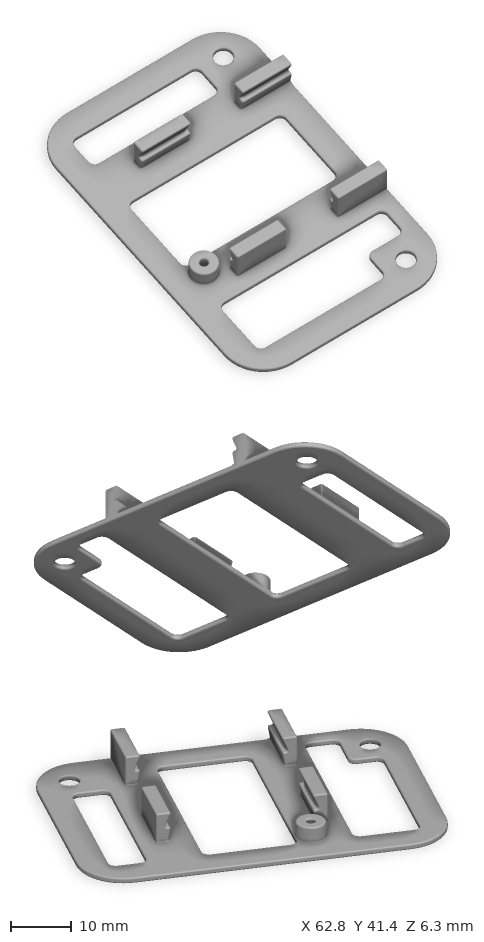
import cadquery as cq
PLATE_LENGTH = 62.8
PLATE_WIDTH = 41.4
PLATE_THICKNESS = 1.0
PLATE_CORNER_RADIUS = 8.0
TOTAL_HEIGHT = 6.3
EDGE_RADIUS = 0.3
FOOT_RADIUS = 0.25
SINK = 0.5

OPENING_CORNER_RADIUS = 1.25
OPENING_FRONT_Y = -15.7
CENTRE_OPENING_LEFT = -10.55
CENTRE_OPENING_RIGHT = 5.45
CENTRE_OPENING_BACK_Y = 15.7
SLOT_OUTER_X = 26.4
SLOT_BACK_Y = 10.1
LEFT_SLOT_INNER_X = -20.0
RIGHT_SLOT_INNER_X = 15.0
RIGHT_SLOT_ARM_X = 20.85
RIGHT_SLOT_ARM_BACK_Y = 17.7

HOLE_DIAMETER = 3.4
HOLE_X = 25.5
HOLE_Y = 14.75

BAR_LENGTH = 10.0
LEFT_BAR_OUTER_X = -17.0
RIGHT_BAR_OUTER_X = 12.1
FRONT_BAR_BACK_Y = 0.25
HOOK_DEPTH = 2.65
NOTCH_DEPTH = 1.45
LIP_DEPTH = 2.5
BAR_BASE_DEPTH = 2.1
LIP_TOP_Z = 3.5

BOSS_X = 8.15
BOSS_Y = -13.7
BOSS_DIAMETER = 5.0
BOSS_TOP_Z = 3.8
BOSS_HOLE_DIAMETER = 1.5

BACK_Y = PLATE_WIDTH / 2


def rectangle(left, right, front, back):
    """Corner points of an upright rectangle."""
    return [(left, front), (right, front), (right, back), (left, back)]


def opening(corners):
    """Full-height cutter with rounded corners."""
    prism = cq.Workplane("XY").polyline(corners).close().extrude(TOTAL_HEIGHT)
    return prism.edges("|Z").fillet(OPENING_CORNER_RADIUS)


def make_openings():
    centre = rectangle(CENTRE_OPENING_LEFT, CENTRE_OPENING_RIGHT, OPENING_FRONT_Y, CENTRE_OPENING_BACK_Y)
    left_slot = rectangle(-SLOT_OUTER_X, LEFT_SLOT_INNER_X, OPENING_FRONT_Y, SLOT_BACK_Y)
    right_slot = [
        (RIGHT_SLOT_INNER_X, OPENING_FRONT_Y),
        (SLOT_OUTER_X, OPENING_FRONT_Y),
        (SLOT_OUTER_X, SLOT_BACK_Y),
        (RIGHT_SLOT_ARM_X, SLOT_BACK_Y),
        (RIGHT_SLOT_ARM_X, RIGHT_SLOT_ARM_BACK_Y),
        (RIGHT_SLOT_INNER_X, RIGHT_SLOT_ARM_BACK_Y),
    ]
    return opening(centre).union(opening(left_slot)).union(opening(right_slot))


def make_plate(openings):
    """Plate with its openings and holes, rounded along all top and bottom edges."""
    plate = (
        cq.Workplane("XY")
        .rect(PLATE_LENGTH, PLATE_WIDTH)
        .extrude(PLATE_THICKNESS)
        .edges("|Z")
        .fillet(PLATE_CORNER_RADIUS)
        .cut(openings)
    )
    holes = (
        cq.Workplane("XY")
        .pushPoints([(-HOLE_X, HOLE_Y), (HOLE_X, HOLE_Y)])
        .circle(HOLE_DIAMETER / 2)
        .extrude(PLATE_THICKNESS)
    )
    return plate.cut(holes).faces("<Z or >Z").edges().fillet(EDGE_RADIUS)


def make_bar(outer_x, inward, front_y, back_y):
    """Hooked bar along Y; inward is +1 or -1, the X direction from its outer face to its hook."""
    bottom_z = PLATE_THICKNESS - SINK
    profile = [
        (0, bottom_z),
        (BAR_BASE_DEPTH, bottom_z),
        (BAR_BASE_DEPTH, PLATE_THICKNESS),
        (LIP_DEPTH, LIP_TOP_Z),
        (NOTCH_DEPTH, LIP_TOP_Z),
        (HOOK_DEPTH, TOTAL_HEIGHT),
        (0, TOTAL_HEIGHT),
    ]
    along_bar = cq.selectors.ParallelDirSelector(cq.Vector(0, 1, 0))
    foot_top_z = PLATE_THICKNESS + FOOT_RADIUS
    above_foot = cq.selectors.BoxSelector(
        (-PLATE_LENGTH, -PLATE_LENGTH, foot_top_z),
        (PLATE_LENGTH, PLATE_LENGTH, 2 * TOTAL_HEIGHT),
    )
    at_plate_top = cq.selectors.BoxSelector(
        (outer_x + inward * FOOT_RADIUS, front_y - FOOT_RADIUS, PLATE_THICKNESS - FOOT_RADIUS),
        (outer_x + inward * (BAR_BASE_DEPTH + FOOT_RADIUS), back_y + FOOT_RADIUS, foot_top_z),
    )
    base_depth = BAR_BASE_DEPTH + 2 * FOOT_RADIUS
    base_centre = (outer_x + inward * base_depth / 2, (front_y + back_y) / 2, bottom_z)
    base = (
        cq.Workplane("XY", origin=base_centre)
        .rect(base_depth, back_y - front_y + 4 * FOOT_RADIUS)
        .extrude(SINK)
    )
    return (
        cq.Workplane("XZ", origin=(outer_x, back_y, 0))
        .polyline([(inward * depth, z) for depth, z in profile])
        .close()
        .extrude(back_y - front_y)
        .edges(along_bar & above_foot)
        .fillet(EDGE_RADIUS)
        .union(base)
        .edges(at_plate_top)
        .fillet(FOOT_RADIUS)
        .edges(above_foot - along_bar)
        .fillet(EDGE_RADIUS)
    )


def make_bars():
    """Two bar pairs; the back pair is cut off flush with the back edge of the plate."""
    trim = (
        cq.Workplane("XY")
        .rect(PLATE_LENGTH, PLATE_WIDTH)
        .extrude(TOTAL_HEIGHT)
    )
    spans = [
        (FRONT_BAR_BACK_Y - BAR_LENGTH, FRONT_BAR_BACK_Y),
        (BACK_Y - BAR_LENGTH, BACK_Y + 4 * FOOT_RADIUS),
    ]
    bars = cq.Workplane("XY")
    for front_y, back_y in spans:
        bars = bars.add(make_bar(LEFT_BAR_OUTER_X, 1, front_y, back_y))
        bars = bars.add(make_bar(RIGHT_BAR_OUTER_X, -1, front_y, back_y))
    return bars.combine().intersect(trim)


def make_boss(openings):
    """Round boss with a blind hole, and a rounded foot that stops at the wall of the centre opening."""
    radius = BOSS_DIAMETER / 2
    hole_radius = BOSS_HOLE_DIAMETER / 2
    bottom_z = PLATE_THICKNESS - SINK
    rounding_z = BOSS_TOP_Z - EDGE_RADIUS
    boss = (
        cq.Workplane("XZ", origin=(BOSS_X, BOSS_Y, 0))
        .moveTo(0, bottom_z)
        .lineTo(radius + FOOT_RADIUS, bottom_z)
        .lineTo(radius + FOOT_RADIUS, PLATE_THICKNESS)
        .radiusArc((radius, PLATE_THICKNESS + FOOT_RADIUS), FOOT_RADIUS)
        .lineTo(radius, rounding_z)
        .radiusArc((radius - EDGE_RADIUS, BOSS_TOP_Z), -EDGE_RADIUS)
        .lineTo(hole_radius + EDGE_RADIUS, BOSS_TOP_Z)
        .radiusArc((hole_radius, rounding_z), -EDGE_RADIUS)
        .lineTo(hole_radius, PLATE_THICKNESS)
        .lineTo(0, PLATE_THICKNESS)
        .close()
        .revolve(360, (0, 0), (0, 1))
    )
    return boss.cut(openings)


openings = make_openings()
result = make_plate(openings).union(make_bars()).union(make_boss(openings))